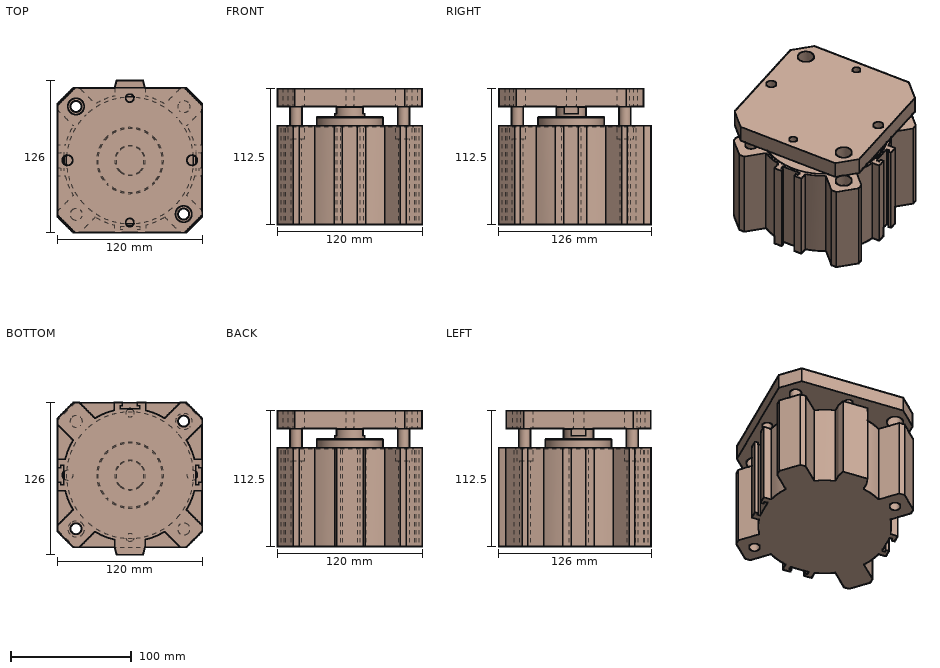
import cadquery as cq


total_height = 112.5
square_side = 120.0
half_side = square_side / 2
total_depth = 126.0

housing_height = 81.8
barrel_diameter = 110.0
lug_width = 25.6
lug_reach = 75.3
lug_offset = 44.5
recess_diameter = 105.0
recess_depth = 1.0
boss_diameter = 55.0
boss_height = 7.5
boss_chamfer = 1.0

rail_half_width = 13.0
slot_half_width = 6.0
undercut_half_width = 8.1
lip_thickness = 2.8
slot_floor = 54.5

port_tip = total_depth - half_side
port_base_half_width = 12.6
port_tip_half_width = 11.0

head_hole_diameter = 13.5
head_hole_depth = 11.0
bolt_hole_diameter = 9.0

plate_side = 119.7
plate_thickness = 15.0
plate_bottom = total_height - plate_thickness
plate_chamfer = 14.5
guide_rod_diameter = 10.0
piston_rod_diameter = 25.0
piston_rod_flats = 22.0
flats_height = 5.7
piston_rod_chamfer = 0.5
tapped_hole_offset = 51.4
large_tapped_diameter = 8.5
small_tapped_diameter = 6.7

bolt_points = [(-lug_offset, lug_offset), (lug_offset, -lug_offset)]
guide_points = [(-lug_offset, -lug_offset), (lug_offset, lug_offset)]


def cylinder(diameter, bottom, top, points=((0, 0),)):
    """Upright cylinders between two heights, one at each point."""
    return (
        cq.Workplane("XY", origin=(0, 0, bottom))
        .pushPoints(points)
        .circle(diameter / 2)
        .extrude(top - bottom)
    )


def make_lugs():
    """Four diagonal corner lugs, trimmed to the square outline of the housing."""
    square = cq.Workplane("XY").rect(square_side, square_side).extrude(housing_height)
    lugs = cq.Workplane("XY")
    for angle in (45, 135):
        bar = cq.Workplane("XY").rect(2 * lug_reach, lug_width).extrude(housing_height)
        lugs = lugs.add(bar.rotate((0, 0, 0), (0, 0, 1), angle))
    return lugs.combine().intersect(square)


def make_rail():
    """Sensor rail block on the -Y side, without its slot."""
    return (
        cq.Workplane("XY", origin=(0, -half_side / 2, 0))
        .rect(2 * rail_half_width, half_side)
        .extrude(housing_height)
    )


def make_slot():
    """Undercut slot of a rail on the -Y side."""
    lip_back = half_side - lip_thickness
    return (
        cq.Workplane("XY")
        .moveTo(-slot_half_width, -half_side)
        .lineTo(-slot_half_width, -lip_back)
        .lineTo(-undercut_half_width, -lip_back)
        .lineTo(-undercut_half_width, -slot_floor)
        .lineTo(undercut_half_width, -slot_floor)
        .lineTo(undercut_half_width, -lip_back)
        .lineTo(slot_half_width, -lip_back)
        .lineTo(slot_half_width, -half_side)
        .close()
        .extrude(housing_height)
    )


def make_port_block():
    """Block with tapering sides on the +Y side."""
    return (
        cq.Workplane("XY")
        .moveTo(-port_base_half_width, 0)
        .lineTo(-port_base_half_width, half_side)
        .lineTo(-port_tip_half_width, port_tip)
        .lineTo(port_tip_half_width, port_tip)
        .lineTo(port_base_half_width, half_side)
        .lineTo(port_base_half_width, 0)
        .close()
        .extrude(housing_height)
    )


def make_housing():
    """Barrel with lugs, rails, port block, recessed top, boss and mounting holes."""
    housing = cylinder(barrel_diameter, 0, housing_height).union(make_lugs()).union(make_port_block())
    for angle in (-90, 0, 90):
        rail = make_rail().rotate((0, 0, 0), (0, 0, 1), angle)
        slot = make_slot().rotate((0, 0, 0), (0, 0, 1), angle)
        housing = housing.union(rail).cut(slot)

    recess_floor = housing_height - recess_depth
    boss = cylinder(boss_diameter, recess_floor, housing_height + boss_height)
    boss = boss.faces(">Z").chamfer(boss_chamfer)
    housing = housing.cut(cylinder(recess_diameter, recess_floor, housing_height)).union(boss)

    head_floor = housing_height - head_hole_depth
    housing = housing.cut(cylinder(bolt_hole_diameter, 0, housing_height, bolt_points))
    return housing.cut(cylinder(head_hole_diameter, head_floor, housing_height, bolt_points))


def make_piston_rod():
    """Piston rod from the boss to the plate, with two wrench flats facing -X and +X."""
    rod = cylinder(piston_rod_diameter, housing_height + boss_height, plate_bottom)
    rod = rod.faces(">Z").chamfer(piston_rod_chamfer)
    flats_bottom = plate_bottom - flats_height
    outside = cylinder(2 * piston_rod_diameter, flats_bottom, plate_bottom)
    between = (
        cq.Workplane("XY", origin=(0, 0, flats_bottom))
        .rect(piston_rod_flats, 2 * piston_rod_diameter)
        .extrude(flats_height)
    )
    return rod.cut(outside.cut(between))


def make_plate():
    """Square end plate with chamfered corners, clearance holes and tapped holes."""
    plate = (
        cq.Workplane("XY", origin=(0, 0, plate_bottom))
        .rect(plate_side, plate_side)
        .extrude(plate_thickness)
        .edges("|Z")
        .chamfer(plate_chamfer)
    )
    large_points = [(-tapped_hole_offset, 0), (tapped_hole_offset, 0)]
    small_points = [(0, -tapped_hole_offset), (0, tapped_hole_offset)]
    holes = [
        (head_hole_diameter, bolt_points),
        (large_tapped_diameter, large_points),
        (small_tapped_diameter, small_points),
    ]
    for diameter, points in holes:
        plate = plate.cut(cylinder(diameter, plate_bottom, total_height, points))
    return plate


def make_carriage():
    """End plate with the piston rod and two guide rods."""
    guide_rods = cylinder(guide_rod_diameter, housing_height, plate_bottom, guide_points)
    return make_plate().union(guide_rods).union(make_piston_rod())


housing = make_housing()
carriage = make_carriage()

result = cq.Compound.makeCompound([housing.val(), carriage.val()])